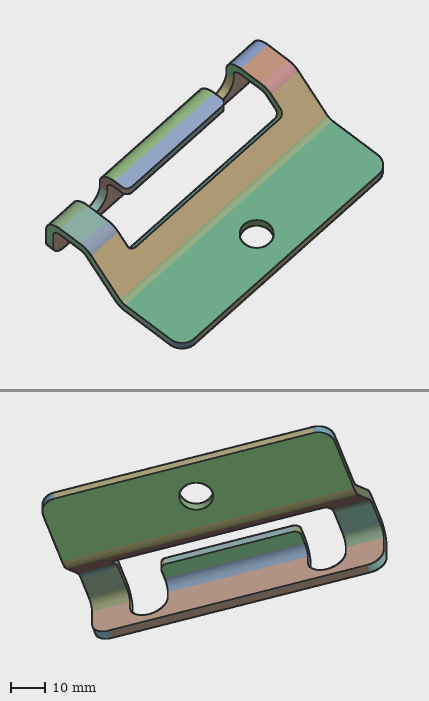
import cadquery as cq
import math

LENGTH = 54.7
WIDTH = 90.0
HEIGHT = 17.0

THICKNESS = 3.0
INNER_BEND = 3.0
OUTER_BEND = INNER_BEND + THICKNESS
RAMP_ANGLE = 45.0
RAMP_BEND_X = 13.95

LEG_WIDTH = 11.7
SLOT_WIDTH = 11.7
SLOT_FLOOR = 3.0
TONGUE_REACH = 11.0
WINDOW_EDGE_X = 23.2
HOLE_X = 42.75
HOLE_DIAMETER = 10.0

SHEET_CORNER = 5.0
WINDOW_CORNER = 2.0

CLEARANCE = 4.5
BELOW_RAMP = 1.4

SLOT_RADIUS = SLOT_WIDTH / 2
SLOT_CENTER_Z = SLOT_FLOOR + SLOT_RADIUS
WINDOW_WIDTH = WIDTH - 2 * LEG_WIDTH
TONGUE_WIDTH = WINDOW_WIDTH - 2 * SLOT_WIDTH


def polar(center, radius, degrees):
    """Point on a circle in the XZ profile."""
    angle = math.radians(degrees)
    return (center[0] + radius * math.cos(angle), center[1] + radius * math.sin(angle))


RAMP_NORMAL = 90 - RAMP_ANGLE
FRONT_MIDDLE = 135.0
FRONT_CENTER = (OUTER_BEND, HEIGHT - OUTER_BEND)
UPPER_CENTER = (RAMP_BEND_X, HEIGHT - OUTER_BEND)
UPPER_TANGENT = polar(UPPER_CENTER, OUTER_BEND, RAMP_NORMAL)
LOWER_CENTER_Z = THICKNESS + INNER_BEND
LOWER_TANGENT_Z = LOWER_CENTER_Z - INNER_BEND * math.cos(math.radians(RAMP_ANGLE))
RAMP_SLOPE = math.tan(math.radians(RAMP_ANGLE))
LOWER_TANGENT_X = UPPER_TANGENT[0] + (UPPER_TANGENT[1] - LOWER_TANGENT_Z) / RAMP_SLOPE
LOWER_CENTER = (
    LOWER_TANGENT_X + INNER_BEND * math.sin(math.radians(RAMP_ANGLE)),
    LOWER_CENTER_Z,
)


def extrude_across(profile, width):
    """Extrude a closed XZ profile centered on Y = 0."""
    return profile.extrude(width / 2, both=True)


def bent_sheet():
    """Front wall, raised top, ramp and base plate with rounded corners."""
    upper_middle = RAMP_NORMAL + RAMP_ANGLE / 2
    lower_start = 180 + RAMP_NORMAL
    lower_middle = 180 + upper_middle
    profile = (
        cq.Workplane("XZ")
        .moveTo(0, 0)
        .lineTo(0, FRONT_CENTER[1])
        .threePointArc(polar(FRONT_CENTER, OUTER_BEND, FRONT_MIDDLE), (FRONT_CENTER[0], HEIGHT))
        .lineTo(UPPER_CENTER[0], HEIGHT)
        .threePointArc(polar(UPPER_CENTER, OUTER_BEND, upper_middle), UPPER_TANGENT)
        .lineTo(*polar(LOWER_CENTER, INNER_BEND, lower_start))
        .threePointArc(polar(LOWER_CENTER, INNER_BEND, lower_middle), (LOWER_CENTER[0], THICKNESS))
        .lineTo(LENGTH, THICKNESS)
        .lineTo(LENGTH, 0)
        .lineTo(LOWER_CENTER[0], 0)
        .threePointArc(
            polar(LOWER_CENTER, OUTER_BEND, lower_middle),
            polar(LOWER_CENTER, OUTER_BEND, lower_start),
        )
        .lineTo(*polar(UPPER_CENTER, INNER_BEND, RAMP_NORMAL))
        .threePointArc(
            polar(UPPER_CENTER, INNER_BEND, upper_middle),
            (UPPER_CENTER[0], HEIGHT - THICKNESS),
        )
        .lineTo(FRONT_CENTER[0], HEIGHT - THICKNESS)
        .threePointArc(polar(FRONT_CENTER, INNER_BEND, FRONT_MIDDLE), (THICKNESS, FRONT_CENTER[1]))
        .lineTo(THICKNESS, 0)
        .close()
    )
    sheet = extrude_across(profile, WIDTH)
    sheet = sheet.faces(">X").edges("|Z").fillet(SHEET_CORNER)
    front_corners = cq.selectors.BoxSelector(
        (-CLEARANCE, -WIDTH, -CLEARANCE), (THICKNESS, WIDTH, SHEET_CORNER)
    )
    return sheet.edges("|X").edges(front_corners).fillet(SHEET_CORNER)


def tongue_outline():
    """Block covering the tongue that stays inside the window."""
    block = cq.Workplane("XY").box(
        TONGUE_REACH + CLEARANCE, TONGUE_WIDTH, HEIGHT + 2 * CLEARANCE, centered=(False, True, False)
    )
    return block.translate((-CLEARANCE, 0, 0)).faces(">X").edges("|Z").fillet(WINDOW_CORNER)


def window_cutter():
    """Window whose far edge is square to the ramp, leaving the tongue."""
    window_edge_z = UPPER_TANGENT[1] - (WINDOW_EDGE_X - UPPER_TANGENT[0]) * RAMP_SLOPE
    window_edge = (WINDOW_EDGE_X, window_edge_z)
    edge_above = polar(window_edge, HEIGHT, RAMP_NORMAL)
    edge_below = polar(window_edge, -(THICKNESS + BELOW_RAMP), RAMP_NORMAL)
    profile = cq.Workplane("XZ").polyline([
        (-CLEARANCE, SLOT_CENTER_Z),
        (THICKNESS, SLOT_CENTER_Z),
        edge_below,
        edge_above,
        (-CLEARANCE, edge_above[1]),
    ]).close()
    normal_x, normal_z = polar((0, 0), 1, RAMP_NORMAL)
    square_to_ramp = cq.selectors.ParallelDirSelector(cq.Vector(normal_x, 0, normal_z))
    cutter = extrude_across(profile, WINDOW_WIDTH)
    cutter = cutter.edges(square_to_ramp).fillet(WINDOW_CORNER)
    return cutter.cut(tongue_outline())


def slot_ends():
    """Round lower ends of the two slots through the front wall."""
    slot_y = (TONGUE_WIDTH + SLOT_WIDTH) / 2
    return (
        cq.Workplane("YZ")
        .pushPoints([(side * slot_y, SLOT_CENTER_Z) for side in (-1, 1)])
        .circle(SLOT_RADIUS)
        .extrude(THICKNESS)
    )


def mounting_hole():
    return cq.Workplane("XY").center(HOLE_X, 0).circle(HOLE_DIAMETER / 2).extrude(THICKNESS)


result = bent_sheet().cut(window_cutter()).cut(slot_ends()).cut(mounting_hole())